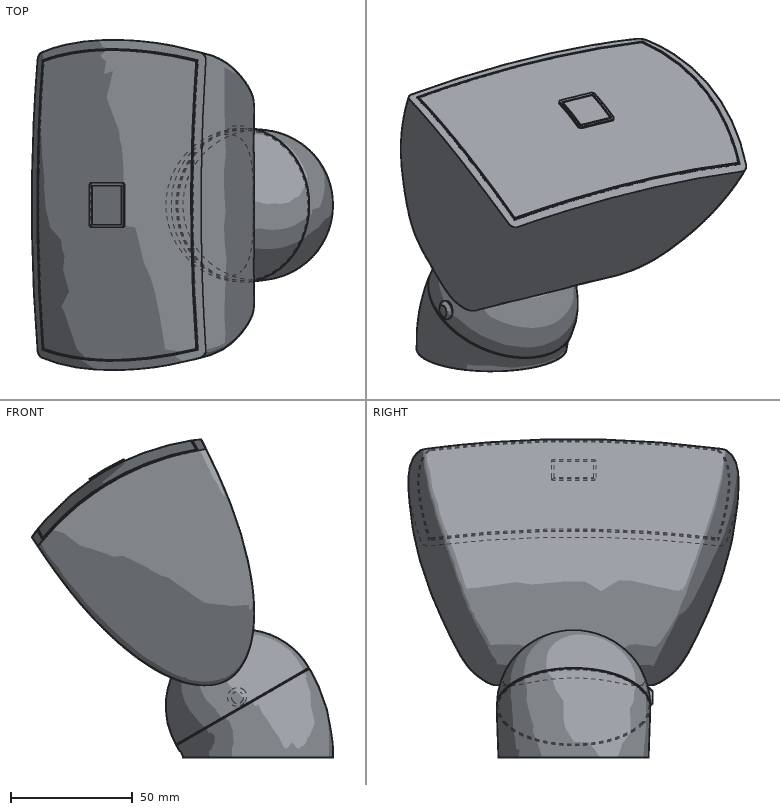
import cadquery as cq
import math

tilt = 30.0
joint_diameter = 63.0
foot_diameter = 61.7
bend_radius = 37.5
collar_height = 2.7
groove_width = 0.4
elbow_steps = 3

side_profile = [
    (0, 12.3),
    (10.8, 16.1),
    (20.6, 26.3),
    (31.5, 49.3),
    (37.3, 74.0),
    (40.1, 103.7),
]
end_profile = [
    (29.8, 6.8),
    (34.5, 16.3),
    (42.5, 27.1),
    (53.5, 49.3),
    (62.9, 75.0),
    (67.8, 106.7),
]
blank_length = 162.6
head_top = 122.0
end_crown_radius = 147.7
corner_radius = 3.4

front_height = 111.7
front_radius_u = 100.3
front_radius_y = 437.8

panel_half_width = 36.7
panel_half_length = 64.0
panel_groove_width = 0.5
panel_groove_depth = 0.5

badge_width = 16.3
badge_length = 18.4
badge_shift = 0.4
badge_height = 0.7
badge_corner = 0.8
badge_border = 1.2
badge_recess = 0.4

knob_diameter = 8.1
knob_reach = 32.5
knob_chamfer = 1.6
knob_height = 4.2
knob_root = 20.3


def to_joint(body):
    """Move a body from joint coordinates to its tilted place above the elbow."""
    angle = math.radians(tilt)
    shift_x = bend_radius * (math.cos(angle) - 1) - collar_height * math.sin(angle)
    shift_z = bend_radius * math.sin(angle) + collar_height * math.cos(angle)
    return body.rotate((0, 0, 0), (0, 1, 0), -tilt).translate((shift_x, 0, shift_z))


def elbow_section(step):
    """Circle across the elbow, tapering evenly from the foot to the joint."""
    share = step / elbow_steps
    angle = math.radians(tilt * share)
    radius = (foot_diameter + (joint_diameter - foot_diameter) * share) / 2
    plane = cq.Plane(
        origin=(bend_radius * (math.cos(angle) - 1), 0, bend_radius * math.sin(angle)),
        xDir=(0, 1, 0),
        normal=(-math.sin(angle), 0, math.cos(angle)),
    )
    return cq.Workplane(plane).circle(radius).wires().val()


def make_foot():
    """Tapered elbow with a collar and the narrow spigot that carries the dome."""
    elbow = cq.Workplane(cq.Solid.makeLoft([elbow_section(i) for i in range(elbow_steps + 1)]))
    collar = (
        cq.Workplane("XY", origin=(0, 0, -collar_height))
        .circle(joint_diameter / 2)
        .extrude(collar_height - groove_width)
        .faces(">Z")
        .workplane()
        .circle(foot_diameter / 2)
        .extrude(groove_width)
    )
    return elbow.union(to_joint(collar))


def front_body(offset):
    """Everything below the doubly crowned front, shifted outwards by an offset."""
    reach = blank_length / 2
    radius_u = front_radius_u + offset
    sagitta = front_radius_y - math.sqrt(front_radius_y**2 - reach**2)
    return (
        cq.Workplane("YZ")
        .moveTo(-reach, 0)
        .lineTo(-reach, radius_u - sagitta)
        .threePointArc((0, radius_u), (reach, radius_u - sagitta))
        .lineTo(reach, 0)
        .close()
        .revolve(360, (0, 0), (1, 0))
        .translate((0, 0, front_height - front_radius_u))
    )


def side_blank():
    """Extrusion of the symmetric side outline along the full length."""
    mirrored = [(-u, w) for u, w in reversed(side_profile[1:])]
    top_u = side_profile[-1][0]
    return (
        cq.Workplane("XZ", origin=(0, blank_length / 2, 0))
        .moveTo(*mirrored[0])
        .spline(mirrored[1:] + side_profile, includeCurrent=True)
        .lineTo(top_u, head_top)
        .lineTo(-top_u, head_top)
        .close()
        .extrude(blank_length)
    )


def end_wall(side):
    """Body of revolution whose outer skin is the crowned end wall on one side of y."""
    axis_y = end_profile[-1][0] - end_crown_radius
    (low_y, low_w), (top_y, top_w) = end_profile[0], end_profile[-1]
    body = (
        cq.Workplane("YZ")
        .moveTo(axis_y, low_w)
        .lineTo(low_y, low_w)
        .spline(end_profile[1:], includeCurrent=True)
        .lineTo(top_y, head_top)
        .lineTo(axis_y, head_top)
        .close()
        .revolve(360, (axis_y, 0), (axis_y, 1))
    )
    return body if side > 0 else body.mirror("XZ")


def panel_prism(inset):
    """Prism over the panel outline: straight long sides, bowed ends."""
    half_u = panel_half_width - inset
    middle_y = panel_half_length - inset
    bow = end_crown_radius - math.sqrt(end_crown_radius**2 - half_u**2)
    end_y = middle_y - bow
    return (
        cq.Workplane("XY")
        .moveTo(half_u, -end_y)
        .lineTo(half_u, end_y)
        .threePointArc((0, middle_y), (-half_u, end_y))
        .lineTo(-half_u, -end_y)
        .threePointArc((0, -middle_y), (half_u, -end_y))
        .close()
        .extrude(head_top)
    )


def panel_groove():
    """Fine groove along the panel outline, following the crown of the front."""
    ring = panel_prism(0).cut(panel_prism(panel_groove_width))
    return ring.cut(front_body(-panel_groove_depth))


def badge_prism(inset):
    return (
        cq.Workplane("XY", origin=(badge_shift, 0, 0))
        .rect(badge_width - 2 * inset, badge_length - 2 * inset)
        .extrude(head_top)
    )


def add_badge(head):
    """Raised frame with a shallow recessed field, both following the front's crown."""
    plate = badge_prism(0).edges("|Z").chamfer(badge_corner)
    plate = plate.intersect(front_body(badge_height)).cut(front_body(-badge_height))
    field = badge_prism(badge_border).cut(front_body(badge_height - badge_recess))
    return head.union(plate.cut(field))


def make_head():
    head = side_blank().intersect(end_wall(1)).intersect(end_wall(-1))
    head = head.faces("<Y or >Y").edges("not >Z").fillet(corner_radius)
    head = head.intersect(front_body(0)).cut(panel_groove())
    return add_badge(head)


def make_dome():
    """Half ball on the joint plane with the chamfered knob on its +Y side."""
    ball = cq.Workplane("XY").sphere(joint_diameter / 2)
    knob = (
        cq.Workplane("XZ", origin=(0, knob_root, knob_height))
        .circle(knob_diameter / 2)
        .extrude(knob_root - knob_reach)
        .faces(">Y")
        .chamfer(knob_chamfer)
    )
    above_joint = cq.Workplane("XY").rect(2 * joint_diameter, 2 * joint_diameter).extrude(joint_diameter)
    return ball.union(knob).intersect(above_joint)


foot = make_foot()
speaker = to_joint(make_head().union(make_dome()))

result = cq.Compound.makeCompound([foot.val(), speaker.val()])